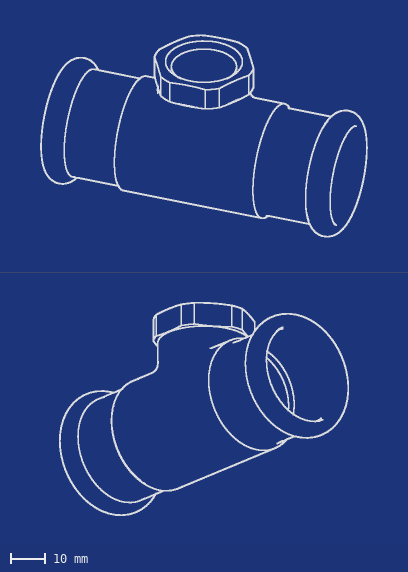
import cadquery as cq
import math

run_length = 88.0
half_run = run_length / 2
run_bore_radius = 25.0 / 2

body_radius = 33.4 / 2
body_half_length = 21.1

tube_radius = 31.4 / 2
tube_fillet = 1.8

mouth_radius = 28.8 / 2
mouth_rounding = 0.7
mouth_edge_radius = mouth_radius + mouth_rounding
mouth_depth = 6.6
seal_half_width = 1.5
socket_radius = 28.4 / 2
lead_in_length = 0.9
stop_radius = 13.6
stop_length = 1.8
stop_rounding = 0.4

bead_outer_radius = 36.7 / 2
bead_radius = 3.7
bead_ring_radius = bead_outer_radius - bead_radius
bead_center = half_run - math.sqrt(bead_radius**2 - (mouth_edge_radius - bead_ring_radius) ** 2)

branch_radius = 26.5 / 2
branch_fillet = 3.0
branch_bore_radius = 18.7 / 2
branch_countersink_radius = 11.0
branch_countersink_depth = branch_countersink_radius - branch_bore_radius
total_height = 47.3
branch_top = total_height - bead_outer_radius

hex_across_flats = 26.9
hex_height = 7.0
hex_corner_radius = 29.0 / 2
hex_chamfer = 0.3

ARC_SAG = 1 - math.sin(math.radians(45))


def make_body_with_branch():
    """Central cylinder and branch neck, blended where they meet."""
    body = cq.Workplane("YZ").circle(body_radius).extrude(body_half_length, both=True)
    neck = cq.Workplane("XY").circle(branch_radius).extrude(branch_top - hex_height / 2)
    joint = cq.selectors.BoxSelector(
        (-branch_radius, -branch_radius, body_radius / 2),
        (branch_radius, branch_radius, body_radius),
    )
    return body.union(neck).edges(joint).fillet(branch_fillet)


def make_hex_collar():
    """Hexagon with rounded corners, chamfered above and below."""
    across_corners = hex_across_flats / math.cos(math.radians(30))
    prism = cq.Workplane("XY").polygon(6, across_corners).extrude(hex_height)
    rounding = (
        cq.Workplane("XZ")
        .lineTo(hex_across_flats / 2, 0)
        .lineTo(hex_corner_radius, hex_chamfer)
        .lineTo(hex_corner_radius, hex_height - hex_chamfer)
        .lineTo(hex_across_flats / 2, hex_height)
        .lineTo(0, hex_height)
        .close()
        .revolve(360, (0, 0, 0), (0, 1, 0))
    )
    return prism.intersect(rounding).translate((0, 0, branch_top - hex_height))


def make_tube():
    """Solid +X tube: concave fillet at the body, bead at the mouth."""
    fillet_center_radius = tube_radius + tube_fillet
    fillet_length = math.sqrt(tube_fillet**2 - (fillet_center_radius - body_radius) ** 2)
    fillet_end = body_half_length + fillet_length
    fillet_angle = math.asin(fillet_length / tube_fillet) / 2
    fillet_middle = (
        fillet_end - tube_fillet * math.sin(fillet_angle),
        fillet_center_radius - tube_fillet * math.cos(fillet_angle),
    )
    bead_start = bead_center - math.sqrt(bead_radius**2 - (tube_radius - bead_ring_radius) ** 2)
    return (
        cq.Workplane("XY")
        .lineTo(0, body_radius)
        .lineTo(body_half_length, body_radius)
        .threePointArc(fillet_middle, (fillet_end, tube_radius))
        .lineTo(bead_start, tube_radius)
        .threePointArc((bead_center, bead_outer_radius), (half_run, mouth_edge_radius))
        .lineTo(half_run, 0)
        .close()
        .revolve(360, (0, 0, 0), (1, 0, 0))
    )


def make_run_cavity():
    """Half of the through bore with the +X socket, as a solid to remove."""
    mouth_end = half_run - mouth_depth
    seal_inner = bead_center - seal_half_width
    seal_outer = bead_center + seal_half_width
    mouth_flare_middle = (
        half_run - mouth_rounding * ARC_SAG,
        mouth_radius + mouth_rounding * ARC_SAG,
    )
    shoulder = body_half_length
    shoulder_rise = socket_radius - stop_radius
    step = shoulder + stop_length
    step_middle = (
        step - shoulder_rise * ARC_SAG,
        stop_radius + shoulder_rise * ARC_SAG,
    )
    bore_edge_middle = (
        shoulder - stop_rounding * ARC_SAG,
        run_bore_radius + stop_rounding * ARC_SAG,
    )
    return (
        cq.Workplane("XY")
        .lineTo(0, run_bore_radius)
        .lineTo(shoulder - stop_rounding, run_bore_radius)
        .threePointArc(bore_edge_middle, (shoulder, run_bore_radius + stop_rounding))
        .lineTo(shoulder, stop_radius)
        .lineTo(step - shoulder_rise, stop_radius)
        .threePointArc(step_middle, (step, socket_radius))
        .lineTo(mouth_end - lead_in_length, socket_radius)
        .lineTo(mouth_end, mouth_radius)
        .lineTo(seal_inner, mouth_radius)
        .threePointArc((bead_center, socket_radius), (seal_outer, mouth_radius))
        .lineTo(half_run - mouth_rounding, mouth_radius)
        .threePointArc(mouth_flare_middle, (half_run, mouth_edge_radius))
        .lineTo(half_run, 0)
        .close()
        .revolve(360, (0, 0, 0), (1, 0, 0))
    )


def make_branch_cavity():
    """Branch bore down to the run, with a 45 degree countersink on top."""
    return (
        cq.Workplane("XZ")
        .lineTo(branch_bore_radius, 0)
        .lineTo(branch_bore_radius, branch_top - branch_countersink_depth)
        .lineTo(branch_countersink_radius, branch_top)
        .lineTo(0, branch_top)
        .close()
        .revolve(360, (0, 0, 0), (0, 1, 0))
    )


def both_ends(half):
    """Join a +X half with its mirror image."""
    return half.union(half.mirror("YZ"))


outside = make_body_with_branch().union(make_hex_collar()).union(both_ends(make_tube()))
result = outside.cut(both_ends(make_run_cavity())).cut(make_branch_cavity())